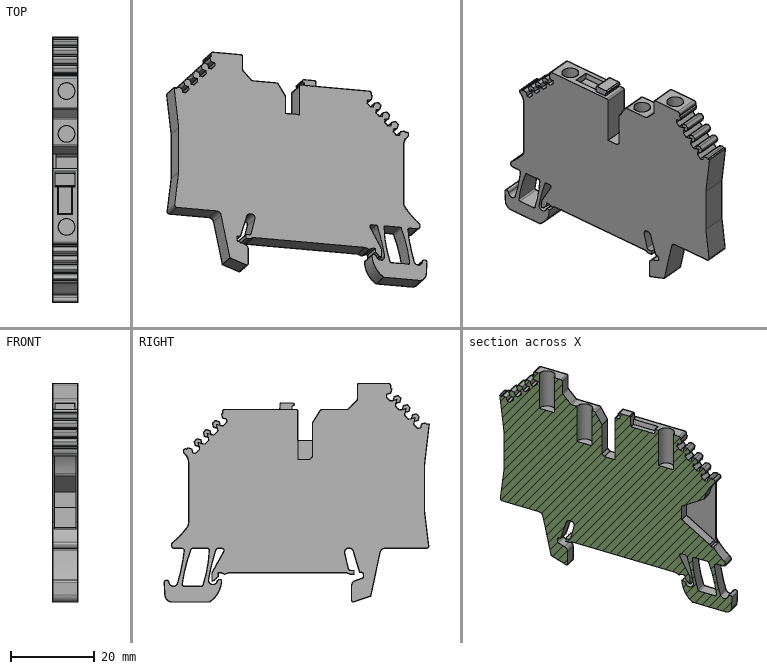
import cadquery as cq
import math


width = 6.1
length = 63.74
height = 52.55
left_face = -width / 2
right_face = width / 2
rear_end = length / 2
front_end = -length / 2

middle_top = 46.28
underside = 12.88
rail_seat = 7.04

tooth_radius = 0.98
tooth_rounding = 0.13
tooth_sides = 6
tooth_first_corner = 15
inner_tooth_inset = 0.12
tooth_pitch = 2.19
tooth_count = 5
tooth_wall_offset = 0.72
gap_floor_near = 0.33
gap_floor_far = 1.66
rear_tooth = (21.9, 50.88)
front_tooth = (-17.14, 44.88)
shoulder_drop = tooth_pitch * (tooth_count - 1)

high_top_edge = 14.58
step_top = 48.65
middle_top_rear = 12.25
notch_rear = 3.74
notch_front = 0.3
notch_floor = 38.84
entry_slope_top = 5.75
entry_slope_bottom = 43.05

rear_waist = 30.72
rear_waist_top = 32.9
rear_waist_bottom = 21.8
rear_bottom = 31.8
front_wall = -26.0
front_nose = -30.13
front_ledge_overhang = 1.35
front_ledge_thickness = 0.94

pocket_left = -2.25
pocket_depth = 4.6
pocket_bevel = 0.65

hole_diameter = 4.0
hole_depth = 10.0
hole_x = 0.3
holes = [(18.9, height), (8.6, middle_top), (-13.75, middle_top)]

button_x = (-2.5, 2.3)
button_top = 47.86
button_rear = -1.1
button_front = -4.17
button_lip = 0.5
button_lip_bottom = 47.0
button_lip_chamfer = 0.3
button_draft = 0.15
button_bevel_run = 0.25
button_bevel_drop = 0.2
recess_x = (-1.9, 1.7)
recess_front = -10.75
recess_depth = 1.3
recess_draft = 0.25

window_half_width = 2.55
window_top = 35.07
window_bottom = 17.5
window_back = -18.1
window_back_bottom = 22.75
window_back_top = 26.5
window_bend = (-24.35, 30.85)
window_roof_front = (-23.85, 30.2)
window_roof_lip = (-26.4, window_top)
window_roof_curve = (-25.15, 33.1)
window_roof_corner = (-24.15, 30.46)
window_sill_height = 0.45
window_sill_depth = 0.3

clip_corner = 0.35
clip_root_overlap = 0.5
clip_slot_edge = -18.95
clip_outer_edge = -27.6
opening_floor = 3.84


def grip_points(first, side):
    """Outline points of one toothed shoulder, from the top tooth down; side is +1 rear, -1 front."""
    y0, z0 = first
    neck_near = tooth_radius * math.sin(math.radians(tooth_first_corner))
    neck_far = tooth_radius * math.cos(math.radians(tooth_first_corner))
    points = [
        (y0 + side * tooth_wall_offset, z0 + tooth_wall_offset, 0),
        (y0, z0, 0),
    ]
    for i in range(tooth_count - 1):
        y = y0 + side * i * tooth_pitch
        z = z0 - i * tooth_pitch
        next_y = y + side * tooth_pitch
        next_z = z - tooth_pitch
        points += [
            (y - side * neck_near, z - neck_far, 0),
            (y - side * gap_floor_near, z - gap_floor_far, 0),
            (next_y - side * gap_floor_far, next_z - gap_floor_near, 0),
            (next_y - side * neck_far, next_z - neck_near, 0),
            (next_y, next_z, 0),
        ]
    ledge_y = y0 + side * (shoulder_drop + tooth_wall_offset)
    points.append((ledge_y, z0 - shoulder_drop + tooth_wall_offset, 0))
    return points


def rounded_profile(points):
    """Closed YZ wire through (y, z, corner radius) points."""
    rounded = []
    for i, (y, z, radius) in enumerate(points):
        corner = cq.Vector(y, z)
        if radius == 0:
            rounded.append((corner, corner, corner))
            continue
        before = cq.Vector(*points[i - 1][:2]) - corner
        after = cq.Vector(*points[(i + 1) % len(points)][:2]) - corner
        half_angle = before.getAngle(after) / 2
        setback = radius / math.tan(half_angle)
        start = corner + before.normalized() * setback
        end = corner + after.normalized() * setback
        bisector = (before.normalized() + after.normalized()).normalized()
        middle = corner + bisector * (radius / math.sin(half_angle) - radius)
        rounded.append((start, middle, end))
    first_end = rounded[0][2]
    path = cq.Workplane("YZ", origin=(left_face, 0, 0)).moveTo(first_end.x, first_end.y)
    for start, middle, end in rounded[1:] + rounded[:1]:
        path = path.lineTo(start.x, start.y)
        if start != end:
            path = path.threePointArc((middle.x, middle.y), (end.x, end.y))
    return path.close()


def housing():
    """Full-width body; every outline point is (y, z, corner radius), running from the notch to the rear."""
    rear_ledge = rear_tooth[1] - shoulder_drop + tooth_wall_offset
    rear_wall = rear_tooth[0] + tooth_wall_offset
    front_top_wall = front_tooth[0] - tooth_wall_offset
    front_ledge = front_tooth[1] - shoulder_drop + tooth_wall_offset
    front_ledge_end = front_tooth[0] - shoulder_drop - front_ledge_overhang
    top = [
        (notch_rear, notch_floor, 0),
        (notch_rear, entry_slope_bottom, 0),
        (entry_slope_top, middle_top, 0.6),
        (middle_top_rear, middle_top, 0.5),
        (high_top_edge, step_top, 0.5),
        (high_top_edge, height, 0.4),
        (rear_wall, height, 0.65),
    ]
    rear = [
        (rear_end, rear_ledge, 0),
        (rear_waist, rear_waist_top, 0),
        (rear_waist, rear_waist_bottom, 0),
        (rear_bottom, underside, 0.6),
    ]
    rear_foot = [
        (20.24, underside, 1.2),
        (17.8, 1.42, 0),
        (13.15, -0.15, 0.4),
        (13.15, 4.87, 1.3),
        (15.99, 5.83, 0.4),
        (15.99, 7.1, 0.4),
        (15.1, 7.13, 0),
        (13.34, 12.92, 0.95),
        (11.25, 12.92, 0.95),
        (12.53, 7.63, 0.5),
        (13.77, 7.63, 0),
        (13.77, 6.65, 0),
        (12.84, 6.65, 0),
        (11.84, rail_seat, 0),
    ]
    latch = [
        (-16.3, rail_seat, 0),
        (-17.3, 6.65, 0),
        (-18.2, rail_seat, 0),
        (-18.85, rail_seat, 0),
        (-18.85, 6.15, 0),
        (-19.9, 5.15, 0),
        (-20.42, 5.05, 0),
        (-20.42, 7.0, 1.5),
        (-17.15, underside, 0.5),
    ]
    front = [
        (front_nose, underside, 0.78),
        (front_nose, 14.05, 0.78),
        (-27.9, 15.9, 18.0),
        (front_wall, 18.5, 2.2),
        (front_wall, 34.75, 3.0),
        (front_ledge_end, front_ledge - front_ledge_thickness, 0.8),
        (front_ledge_end, front_ledge, 0.55),
    ]
    front_top = [
        (front_top_wall, middle_top, 0.55),
        (notch_front, middle_top, 0.45),
        (notch_front, notch_floor, 0),
    ]
    outline = top + grip_points(rear_tooth, 1) + rear + rear_foot + latch + front
    outline += grip_points(front_tooth, -1)[::-1] + front_top
    return rounded_profile(outline).extrude(width)


def grip_teeth(first, side):
    """Hexagonal teeth, each with one flat facing 45 degrees up and outward."""
    y0, z0 = first
    teeth = cq.Workplane("YZ")
    for i in range(tooth_count):
        y = y0 + side * i * tooth_pitch
        z = z0 - i * tooth_pitch
        corners = []
        for step in range(tooth_sides):
            angle = math.radians(tooth_first_corner + 360 / tooth_sides * step)
            corner_y = y + side * tooth_radius * math.cos(angle)
            corner_z = z + tooth_radius * math.sin(angle)
            corners.append((corner_y, corner_z))
        inner_tooth = 0 < i < tooth_count - 1
        tooth_width = width - inner_tooth_inset if inner_tooth else width
        tooth = cq.Workplane("YZ", origin=(left_face, 0, 0)).polyline(corners).close().extrude(tooth_width)
        teeth = teeth.add(tooth.edges("|X").fillet(tooth_rounding))
    return teeth.combine()


def spring_clip():
    """Curved legs with a hooked foot below the front of the housing, and the opening between them."""
    root = underside + clip_root_overlap
    plane = cq.Workplane("YZ", origin=(left_face, 0, 0))
    leg = (
        plane.moveTo(clip_slot_edge, root)
        .lineTo(clip_slot_edge, underside)
        .threePointArc((-19.27, 12.75), (-19.46, 12.4))
        .threePointArc((-20.24, 9.65), (-21.2, 5.3))
        .threePointArc((-20.3, 4.24), (-19.15, 4.95))
        .threePointArc((-18.75, 5.4), (-18.02, 5.3))
        .threePointArc((-19.0, 2.0), (-20.95, 0))
        .lineTo(-30.2, 0)
        .threePointArc((-31.25, 0.6), (-31.72, 1.75))
        .lineTo(front_end, 4.7)
        .threePointArc((-31.28, 5.25), (-30.68, 4.7))
        .threePointArc((-29.6, 3.82), (-28.66, 4.55))
        .threePointArc((-27.55, 9.1), (-27.05, 12.35))
        .threePointArc((-27.2, 12.72), (clip_outer_edge, underside))
        .lineTo(clip_outer_edge, root)
        .close()
        .extrude(width)
    )
    opening = (
        plane.moveTo(-21.02, underside)
        .threePointArc((-21.4, 8.85), (-22.63, opening_floor))
        .lineTo(-27.55, opening_floor)
        .threePointArc((-26.5, 9.2), (-25.3, underside))
        .close()
        .extrude(width)
        .edges("|X")
        .fillet(clip_corner)
    )
    return leg, opening


def notch_pocket():
    """Deeper part of the marker notch, open on the right face, with a bevel at its rear."""
    floor = notch_floor - pocket_depth
    return (
        cq.Workplane("YZ", origin=(pocket_left, 0, 0))
        .moveTo(notch_front, notch_floor)
        .lineTo(notch_rear, notch_floor)
        .lineTo(notch_rear, floor + pocket_bevel)
        .lineTo(notch_rear - pocket_bevel, floor)
        .lineTo(notch_front, floor)
        .close()
        .extrude(right_face - pocket_left)
    )


def wire_hole(y, surface):
    hole = cq.Workplane("XY", origin=(hole_x, y, surface - hole_depth))
    return hole.circle(hole_diameter / 2).extrude(hole_depth)


def push_button():
    """Button standing in the recess, with a lip overhanging its rear side."""
    base = middle_top - recess_depth
    lip_end = button_rear + button_lip
    front_edge = button_front + button_draft
    return (
        cq.Workplane("YZ", origin=(button_x[0], 0, 0))
        .moveTo(button_rear, base)
        .lineTo(button_rear, button_lip_bottom)
        .lineTo(lip_end, button_lip_bottom + button_lip_chamfer)
        .lineTo(lip_end, button_top - button_lip_chamfer)
        .lineTo(lip_end - button_lip_chamfer, button_top)
        .lineTo(front_edge + button_bevel_run, button_top)
        .lineTo(front_edge, button_top - button_bevel_drop)
        .lineTo(button_front, base)
        .close()
        .extrude(button_x[1] - button_x[0])
    )


def button_recess():
    """Tapered pocket in front of the button; its rear end lies under the button."""
    size_x = recess_x[1] - recess_x[0]
    rear = button_front + 2 * recess_draft
    size_y = rear - recess_front
    center = ((recess_x[0] + recess_x[1]) / 2, (rear + recess_front) / 2, middle_top)
    taper = math.degrees(math.atan(recess_draft / recess_depth))
    return cq.Workplane("XY", origin=center).rect(size_x, size_y).extrude(-recess_depth, taper=taper)


def front_window():
    """Blind window in the front end, with a sloping floor and a curved roof."""
    return (
        cq.Workplane("YZ", origin=(-window_half_width, 0, 0))
        .moveTo(front_nose, window_bottom)
        .lineTo(front_wall, window_bottom)
        .lineTo(front_wall + window_sill_depth, window_bottom + window_sill_height)
        .lineTo(window_back, window_back_bottom)
        .lineTo(window_back, window_back_top)
        .lineTo(*window_roof_front)
        .threePointArc(window_roof_corner, window_bend)
        .threePointArc(window_roof_curve, window_roof_lip)
        .lineTo(front_nose, window_top)
        .close()
        .extrude(2 * window_half_width)
    )


clip, clip_opening = spring_clip()
result = housing()
result = result.union(grip_teeth(rear_tooth, 1)).union(grip_teeth(front_tooth, -1))
result = result.union(clip).cut(clip_opening)
result = result.cut(notch_pocket()).cut(front_window()).cut(button_recess()).union(push_button())
for hole_y, surface in holes:
    result = result.cut(wire_hole(hole_y, surface))